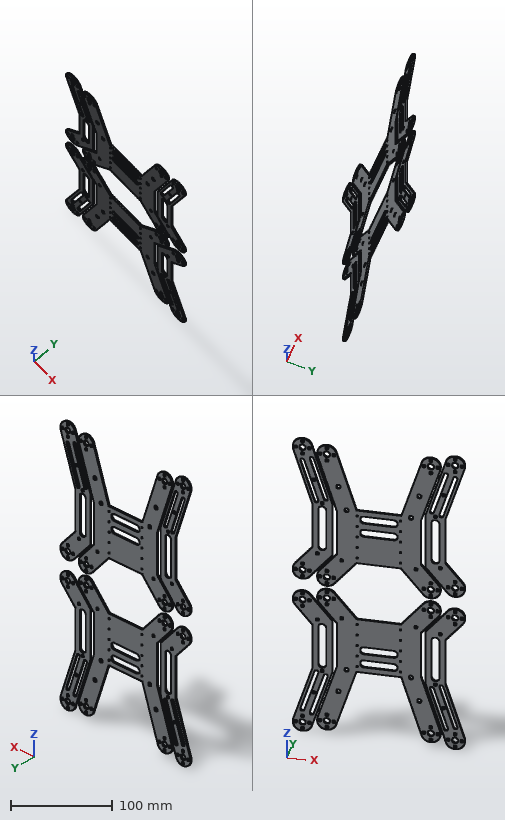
import cadquery as cq
import math

THICKNESS = 2.0

END_RADIUS = 10.0
TOP_TILT = math.radians(18)
BOTTOM_TILT = math.radians(40.5)

SHAFT_HOLE = 6.5
BOLT_HOLE = 3.1
BOLT_RADIUS = 7.0

SIDE_TOP = (-77.5, 157.0)
SIDE_BOTTOM = (-77.5, 17.0)
SIDE_AXIS_X = -57.5
SLOPED_BOLT = (-65.8, 121.5)
SIDE_BOLTS = [SLOPED_BOLT, (SIDE_AXIS_X, 96.0), (-62.5, 37.7)]
UPRIGHT_ANGLE = 90
UPRIGHT_SLOT_LENGTH = 49.8
UPRIGHT_SLOT_WIDTH = 8.0
UPRIGHT_SLOT_Z = 67.0
SLOPED_SLOT_LENGTH = 50.5
SLOPED_SLOT_WIDTH = 4.0
SLOPED_SLOT_OFFSET = 5.0

FRAME_TOP = (-52.8, 152.3)
FRAME_BOTTOM = (-52.8, 12.0)
FRAME_OUTER_X = -42.5
WEB_HALF_WIDTH = 22.7
WEB_TOP = 92.2
WEB_HEIGHT = 60.0
WEB_Z = WEB_TOP - WEB_HEIGHT / 2
FRAME_BOLT = (-37.7, 33.0)
FRAME_PIN_HOLE = 4.5
FRAME_PINS = [(-41.0, 117.0), (-32.7, 91.0)]
WEB_SLOT_LENGTH = 38.0
WEB_SLOT_WIDTH = 8.0
WEB_SLOT_TOP_Z = 82.0
WEB_SLOT_PITCH = 15.0

PERFORATION = 1.5
PERFORATION_X = 22.0
PERFORATION_PITCH = 12.0
PERFORATION_COUNT = 5


def sheet():
    """Workplane facing -Y on the front of the sheet; local axes are X and Z."""
    return cq.Workplane("XZ", origin=(0, -THICKNESS / 2, 0))


def cut_holes(plate, points, diameter):
    return plate.cut(sheet().pushPoints(points).circle(diameter / 2).extrude(-THICKNESS))


def cut_slot(plate, center, length, width, angle=0.0):
    return plate.cut(sheet().center(*center).slot2D(length, width, angle).extrude(-THICKNESS))


def cut_motor_mount(plate, center):
    x, z = center
    bolts = [(x + BOLT_RADIUS, z), (x - BOLT_RADIUS, z), (x, z + BOLT_RADIUS), (x, z - BOLT_RADIUS)]
    plate = cut_holes(plate, [center], SHAFT_HOLE)
    return cut_holes(plate, bolts, BOLT_HOLE)


def arm_blank(top, bottom, outer_x, inner_x):
    """Left arm outline: round ends, sloping sides tangent to them, upright sides between."""
    top_side = (END_RADIUS * math.cos(TOP_TILT), END_RADIUS * math.sin(TOP_TILT))
    bottom_side = (END_RADIUS * math.cos(BOTTOM_TILT), END_RADIUS * math.sin(BOTTOM_TILT))
    top_outer = (top[0] - top_side[0], top[1] - top_side[1])
    top_inner = (top[0] + top_side[0], top[1] + top_side[1])
    top_tip = (top[0] - top_side[1], top[1] + top_side[0])
    bottom_outer = (bottom[0] - bottom_side[0], bottom[1] + bottom_side[1])
    bottom_inner = (bottom[0] + bottom_side[0], bottom[1] - bottom_side[1])
    bottom_tip = (bottom[0] - bottom_side[1], bottom[1] - bottom_side[0])

    def upper_bend(start, x):
        return (x, start[1] - (x - start[0]) / math.tan(TOP_TILT))

    def lower_bend(start, x):
        return (x, start[1] + (x - start[0]) / math.tan(BOTTOM_TILT))

    return (
        sheet()
        .moveTo(*top_inner)
        .threePointArc(top_tip, top_outer)
        .lineTo(*upper_bend(top_outer, outer_x))
        .lineTo(*lower_bend(bottom_outer, outer_x))
        .lineTo(*bottom_outer)
        .threePointArc(bottom_tip, bottom_inner)
        .lineTo(*lower_bend(bottom_inner, inner_x))
        .lineTo(*upper_bend(top_inner, inner_x))
        .close()
        .extrude(-THICKNESS)
    )


def make_side_arm():
    """Upper left side arm."""
    arm = arm_blank(SIDE_TOP, SIDE_BOTTOM, SIDE_AXIS_X - END_RADIUS, SIDE_AXIS_X + END_RADIUS)
    arm = cut_motor_mount(arm, SIDE_TOP)
    arm = cut_motor_mount(arm, SIDE_BOTTOM)
    arm = cut_holes(arm, SIDE_BOLTS, BOLT_HOLE)
    upright_slot = (SIDE_AXIS_X, UPRIGHT_SLOT_Z)
    arm = cut_slot(arm, upright_slot, UPRIGHT_SLOT_LENGTH, UPRIGHT_SLOT_WIDTH, UPRIGHT_ANGLE)
    slope_angle = UPRIGHT_ANGLE + math.degrees(TOP_TILT)
    for offset in (-SLOPED_SLOT_OFFSET, SLOPED_SLOT_OFFSET):
        center = (
            SLOPED_BOLT[0] + offset * math.cos(TOP_TILT),
            SLOPED_BOLT[1] + offset * math.sin(TOP_TILT),
        )
        arm = cut_slot(arm, center, SLOPED_SLOT_LENGTH, SLOPED_SLOT_WIDTH, slope_angle)
    return arm


def make_frame():
    """Upper frame: a left arm, its mirror image and the perforated web between them."""
    arm = arm_blank(FRAME_TOP, FRAME_BOTTOM, FRAME_OUTER_X, -WEB_HALF_WIDTH)
    arm = cut_motor_mount(arm, FRAME_TOP)
    arm = cut_motor_mount(arm, FRAME_BOTTOM)
    arm = cut_holes(arm, [FRAME_BOLT], BOLT_HOLE)
    arm = cut_holes(arm, FRAME_PINS, FRAME_PIN_HOLE)
    web = sheet().center(0, WEB_Z).rect(2 * WEB_HALF_WIDTH, WEB_HEIGHT).extrude(-THICKNESS)
    frame = arm.union(arm.mirror("YZ")).union(web)

    for slot_z in (WEB_SLOT_TOP_Z, WEB_SLOT_TOP_Z - WEB_SLOT_PITCH):
        frame = cut_slot(frame, (0, slot_z), WEB_SLOT_LENGTH, WEB_SLOT_WIDTH)

    lowest_z = WEB_Z - PERFORATION_PITCH * (PERFORATION_COUNT - 1) / 2
    for row_x in (-PERFORATION_X, PERFORATION_X):
        row = [(row_x, lowest_z + i * PERFORATION_PITCH) for i in range(PERFORATION_COUNT)]
        frame = cut_holes(frame, row, PERFORATION)
    return frame


left_arm = make_side_arm()
upper_arms = [left_arm, left_arm.mirror("YZ")]
upper_frame = make_frame()

bodies = []
for upper_plate in [upper_frame, *upper_arms]:
    bodies.append(upper_plate.val())
    bodies.append(upper_plate.mirror("XY").val())

result = cq.Compound.makeCompound(bodies)